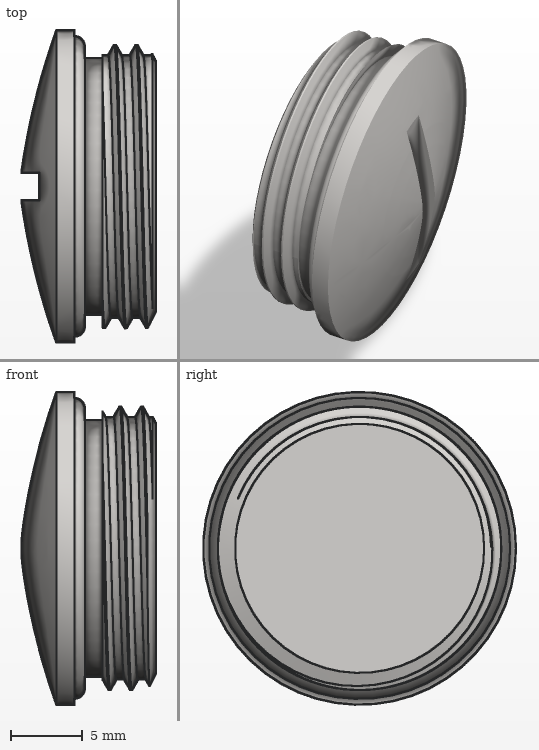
import cadquery as cq
import math

total_length = 9.41
dome_height = 2.45
flange_thickness = 1.25
thread_length = 3.75
flange_back = dome_height + flange_thickness
thread_start = total_length - thread_length
neck_end = total_length - thread_length / 2

flange_radius = 21.85 / 2
neck_radius = 17.95 / 2
root_radius = 18.35 / 2
crest_radius = 19.79 / 2
end_radius = 17.38 / 2

slot_width = 1.9
slot_depth = 1.25

dome_tip_rise = 0.13
dome_mid_radius = 7.1
dome_mid_x = slot_depth

pitch = 1.5
flank_angle = math.radians(30)
crest_width = 0.1
thread_sink = 0.1
ridge_start = 5.02
ridge_turns = 4
end_chamfer_angle = math.radians(27)

ring_thickness = 0.75
ring_outer_radius = 10.5
ring_mid_radius = (neck_radius + ring_outer_radius) / 2


def revolve_about_x(outline):
    return outline.close().revolve(360, (0, 0, 0), (1, 0, 0))


def make_head_and_neck():
    outline = (
        cq.Workplane("XY")
        .moveTo(-dome_tip_rise, 0)
        .threePointArc((dome_mid_x, dome_mid_radius), (dome_height, flange_radius))
        .lineTo(flange_back, flange_radius)
        .lineTo(flange_back, neck_radius)
        .lineTo(neck_end, neck_radius)
        .lineTo(neck_end, 0)
    )
    return revolve_about_x(outline)


def make_thread_ridge():
    """Right-handed helical ridge around X, longer at both ends than the shank."""
    base_radius = root_radius - thread_sink
    half_crest = crest_width / 2
    half_base = half_crest + (crest_radius - base_radius) * math.tan(flank_angle)
    path = cq.Wire.makeHelix(pitch, pitch * ridge_turns, base_radius)
    ridge = (
        cq.Workplane("XZ")
        .polyline([
            (base_radius, -half_base),
            (crest_radius, -half_crest),
            (crest_radius, half_crest),
            (base_radius, half_base),
        ])
        .close()
        .sweep(cq.Workplane(obj=path), isFrenet=True)
    )
    along_x = cq.Plane(origin=(ridge_start, 0, 0), xDir=(0, 1, 0), normal=(1, 0, 0))
    return cq.Workplane(obj=ridge.val().moved(cq.Location(along_x)))


def make_thread_envelope():
    """Cylinder clear of the crests, with the conical lead-in at the free end."""
    envelope_radius = flange_radius
    chamfer_length = (envelope_radius - end_radius) * math.tan(end_chamfer_angle)
    outline = (
        cq.Workplane("XY")
        .moveTo(thread_start, 0)
        .lineTo(thread_start, envelope_radius)
        .lineTo(total_length - chamfer_length, envelope_radius)
        .lineTo(total_length, end_radius)
        .lineTo(total_length, 0)
    )
    return revolve_about_x(outline)


def make_threaded_shank():
    core_length = pitch * (ridge_turns + 1)
    core_start = ridge_start - pitch / 2
    core = cq.Workplane("YZ", origin=(core_start, 0, 0)).circle(root_radius).extrude(core_length)
    return core.union(make_thread_ridge()).intersect(make_thread_envelope())


def make_slot():
    return cq.Workplane("XY").box(2 * slot_depth, slot_width, 2 * flange_radius)


def make_plug():
    return make_head_and_neck().union(make_threaded_shank()).cut(make_slot())


def make_sealing_ring():
    """Half-round ring seated against the flange and around the neck."""
    outline = (
        cq.Workplane("XY")
        .moveTo(flange_back, neck_radius)
        .threePointArc(
            (flange_back + ring_thickness, ring_mid_radius),
            (flange_back, ring_outer_radius),
        )
    )
    return revolve_about_x(outline)


plug = make_plug()
sealing_ring = make_sealing_ring()
result = cq.Compound.makeCompound([plug.solids().val(), sealing_ring.val()])